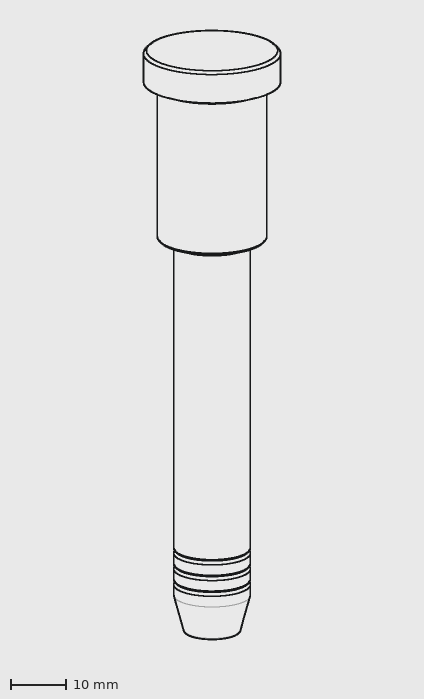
import cadquery as cq
import math

total_length = 111.0
head_height = 6.0
shoulder_depth = 36.0
head_bottom = total_length - head_height
body_bottom = total_length - shoulder_depth

head_radius = 25.0 / 2
body_radius = 20.0 / 2
pin_radius = 14.0 / 2

head_chamfer = 0.5
body_chamfer = 0.4
pin_cone_depth = 1.0
pin_cone_height = 1.0

taper_height = 7.0
taper_angle = 15.0
tip_fillet = 0.5

groove_count = 3
groove_pitch = 3.0
groove_height = 1.0
groove_depth = 0.28
short_flank_height = 0.3
lowest_groove_bottom = 9.0


def stepped_pin():
    """Revolve the half profile of the head, body, pin and tapered tip."""
    taper_slope = math.tan(math.radians(taper_angle))
    tip_radius = pin_radius - taper_height * taper_slope
    pin_top = body_bottom - pin_cone_height
    profile = [
        (0, 0),
        (tip_radius, 0),
        (pin_radius, taper_height),
        (pin_radius, pin_top),
        (pin_radius - pin_cone_depth, body_bottom),
        (body_radius - body_chamfer, body_bottom),
        (body_radius, body_bottom + body_chamfer),
        (body_radius, head_bottom),
        (head_radius, head_bottom),
        (head_radius, total_length - head_chamfer),
        (head_radius - head_chamfer, total_length),
        (0, total_length),
    ]
    pin = cq.Workplane("XZ").polyline(profile).close().revolve(360, (0, 0), (0, 1))
    return pin.faces("<Z").edges().fillet(tip_fillet)


def ring_groove(radius, bottom, root_height):
    """V-shaped ring cutter for a cylinder, with its deepest point at root_height."""
    top = bottom + groove_height
    outer_radius = radius + groove_depth
    section = [
        (radius, bottom),
        (radius - groove_depth, root_height),
        (radius, top),
        (outer_radius, top),
        (outer_radius, bottom),
    ]
    return cq.Workplane("XZ").polyline(section).close().revolve(360, (0, 0), (0, 1))


body_groove_bottom = head_bottom - groove_height
body_groove = ring_groove(body_radius, body_groove_bottom, body_groove_bottom + short_flank_height)
result = stepped_pin().cut(body_groove)

for index in range(groove_count):
    groove_bottom = lowest_groove_bottom + index * groove_pitch
    groove_root = groove_bottom + groove_height - short_flank_height
    result = result.cut(ring_groove(pin_radius, groove_bottom, groove_root))